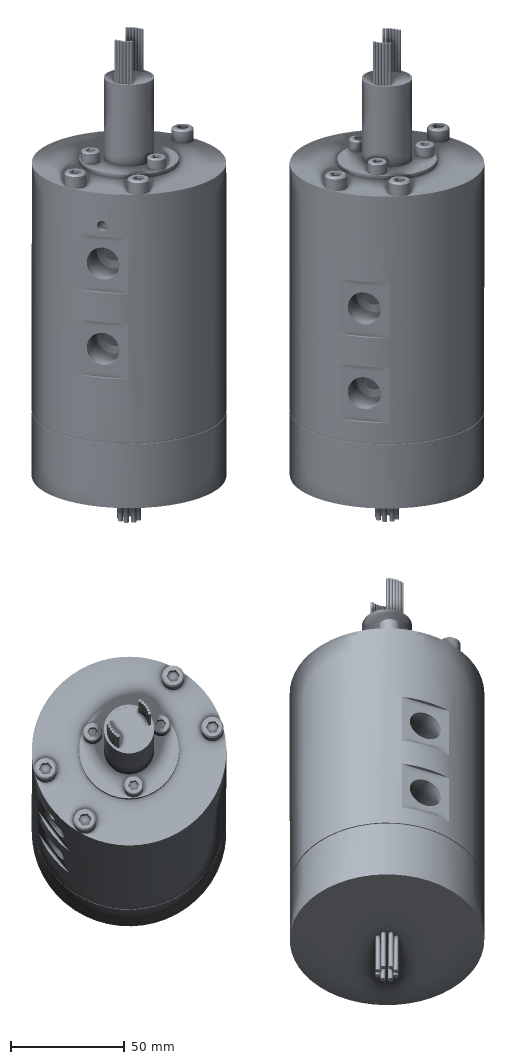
import cadquery as cq
import math

total_height = 226.8
lower_wire_length = 20.2
body_height = 146.7
flange_height = 2.0
tube_top_above_body = 40.1
body_bottom = lower_wire_length
body_top = body_bottom + body_height
flange_top = body_top + flange_height
tube_top = body_top + tube_top_above_body

body_diameter = 86.0
body_radius = body_diameter / 2
flange_diameter = 44.0
tube_diameter = 22.2
tube_recess_diameter = 20.2
tube_recess_depth = 0.2

groove_bottom = 50.3
groove_width = 0.7
groove_depth = 0.5

body_screw = {"head": 9.8, "height": 6.1, "socket": 5.0, "chamfer": 0.7}
flange_screw = {"head": 8.5, "height": 5.2, "socket": 4.0, "chamfer": 0.5}
socket_sides = 6
socket_depth_ratio = 0.5
body_screw_half_pitch_x = 14.5
body_screw_half_pitch_y = 35.2
flange_screw_count = 3
flange_screw_circle_radius = 17.5
first_flange_screw_angle = 90

flat_depth = 1.55
flat_height = 26.0
flat_y = body_radius - flat_depth
ports_per_side = 2
port_pitch = 40.0
front_upper_port_z = 133.5
back_upper_port_z = 113.5
port_diameter = 15.0
port_floor_diameter = 9.0
port_depth = 15.9
drill_tip_angle = 118

drain_diameter = 4.8
drain_depth = 4.5
drain_z = 151.7

upper_wire_diameter = 1.4
upper_row_wire_count = 6
upper_wire_circle_radius = 9.3
upper_wire_pitch_angle = 8.8
lower_wire_diameter = 2.3
lower_wire_count = 8
lower_wire_circle_radius = 4.3


def cylinder(diameter, bottom, top, x=0, y=0):
    """Upright cylinder between two heights."""
    return cq.Workplane("XY", origin=(x, y, bottom)).circle(diameter / 2).extrude(top - bottom)


def socket_screw(screw, x, y, bottom):
    """Cylindrical screw head with a chamfered rim and a hexagonal socket."""
    across_corners = screw["socket"] / math.cos(math.pi / socket_sides)
    head = cylinder(screw["head"], bottom, bottom + screw["height"], x, y)
    head = head.faces(">Z").edges().chamfer(screw["chamfer"])
    socket = head.faces(">Z").workplane(origin=(x, y, 0)).polygon(socket_sides, across_corners)
    return socket.cutBlind(-screw["height"] * socket_depth_ratio)


def drilled_hole(diameter, floor_diameter, straight_depth, surface_y, z):
    """Cutter drilled toward +Y: straight bore, then a drill cone down to a floor (or a point)."""
    radius = diameter / 2
    floor_radius = floor_diameter / 2
    cone_depth = (radius - floor_radius) / math.tan(math.radians(drill_tip_angle / 2))
    cone_start = surface_y + straight_depth
    floor_y = cone_start + cone_depth
    profile = cq.Workplane("XY").moveTo(0, -body_radius).lineTo(radius, -body_radius)
    profile = profile.lineTo(radius, cone_start).lineTo(floor_radius, floor_y)
    if floor_radius > 0:
        profile = profile.lineTo(0, floor_y)
    return profile.close().revolve(360, (0, 0, 0), (0, 1, 0)).translate((0, 0, z))


def front_port(z):
    """Cutter for a flat on the -Y side together with its drilled hole."""
    flat = cq.Workplane("XY").box(body_diameter, flat_depth, flat_height)
    flat = flat.translate((0, -flat_y - flat_depth / 2, z))
    return flat.union(drilled_hole(port_diameter, port_floor_diameter, port_depth, -flat_y, z))


result = cylinder(body_diameter, body_bottom, body_top)
result = result.union(cylinder(flange_diameter, body_top, flange_top))
result = result.union(cylinder(tube_diameter, flange_top, tube_top))
result = result.cut(cylinder(tube_recess_diameter, tube_top - tube_recess_depth, tube_top))

groove_top = groove_bottom + groove_width
groove = cylinder(body_diameter, groove_bottom, groove_top)
groove = groove.cut(cylinder(body_diameter - 2 * groove_depth, groove_bottom, groove_top))
result = result.cut(groove)

for row in range(ports_per_side):
    drop = row * port_pitch
    result = result.cut(front_port(front_upper_port_z - drop))
    back_port = front_port(back_upper_port_z - drop).mirror("XZ")
    result = result.cut(back_port)
result = result.cut(drilled_hole(drain_diameter, 0, drain_depth, -body_radius, drain_z))

for x_side in (-1, 1):
    for y_side in (-1, 1):
        screw_x = x_side * body_screw_half_pitch_x
        screw_y = y_side * body_screw_half_pitch_y
        result = result.union(socket_screw(body_screw, screw_x, screw_y, body_top))
for index in range(flange_screw_count):
    angle = math.radians(first_flange_screw_angle + index * 360 / flange_screw_count)
    screw_x = flange_screw_circle_radius * math.cos(angle)
    screw_y = flange_screw_circle_radius * math.sin(angle)
    result = result.union(socket_screw(flange_screw, screw_x, screw_y, flange_top))

upper_wire_bottom = tube_top - tube_recess_depth
for side in (-1, 1):
    for index in range(upper_row_wire_count):
        angle = math.radians((index - (upper_row_wire_count - 1) / 2) * upper_wire_pitch_angle)
        wire_x = upper_wire_circle_radius * math.sin(angle)
        wire_y = side * upper_wire_circle_radius * math.cos(angle)
        wire = cylinder(upper_wire_diameter, upper_wire_bottom, total_height, wire_x, wire_y)
        result = result.union(wire)

for index in range(lower_wire_count):
    angle = math.radians(index * 360 / lower_wire_count)
    wire_x = lower_wire_circle_radius * math.cos(angle)
    wire_y = lower_wire_circle_radius * math.sin(angle)
    result = result.union(cylinder(lower_wire_diameter, 0, body_bottom, wire_x, wire_y))